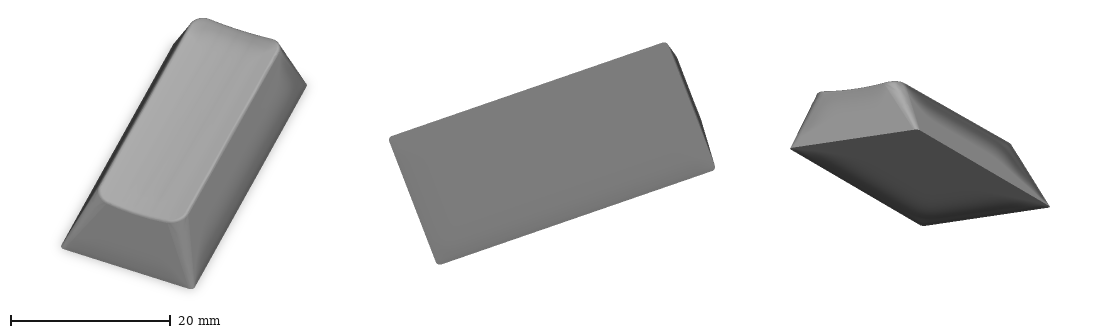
import cadquery as cq
import math

base_width = 18.1
base_length = 37.15
base_corner_radius = 0.55

blank_height = 7.58
side_setback = 3.2
front_setback = 3.75
rear_setback = 0.35
top_corner_radius = 2.15
top_drop = 0.25

dish_radius = 35.3
dish_floor_front = 7.0
dish_overrun = 7.43
rim_fillet = 0.4

top_width = base_width - 2 * side_setback
top_length = base_length - front_setback - rear_setback
top_center_y = (front_setback - rear_setback) / 2
top_front_y = -base_length / 2 + front_setback
top_slope = math.degrees(math.atan2(top_drop, top_length))


def rounded_outline(width, length, radius):
    """Rounded rectangle centred on the origin."""
    return cq.Sketch().rect(width, length).vertices().fillet(radius)


def make_blank():
    """Solid body with leaning walls and corners that widen upward."""
    base = rounded_outline(base_width, base_length, base_corner_radius)
    top = rounded_outline(top_width, top_length, top_corner_radius)
    top_position = cq.Vector(0, top_center_y, blank_height)
    tilted_top = top.moved(cq.Location(top_position, cq.Vector(1, 0, 0), -top_slope))
    return cq.Workplane("XY").placeSketch(base, tilted_top).loft(ruled=True)


def make_dish_cutter():
    """Cylinder along Y whose lowest line is the floor of the dish."""
    cutter_length = top_length + 2 * dish_overrun
    return (
        cq.Workplane("XZ")
        .circle(dish_radius)
        .extrude(-cutter_length)
        .translate((0, -dish_overrun, dish_radius))
        .rotate((0, 0, 0), (1, 0, 0), -top_slope)
        .translate((0, top_front_y, dish_floor_front))
    )


dished = make_blank().cut(make_dish_cutter())
result = dished.faces(">Z").edges().fillet(rim_fillet)